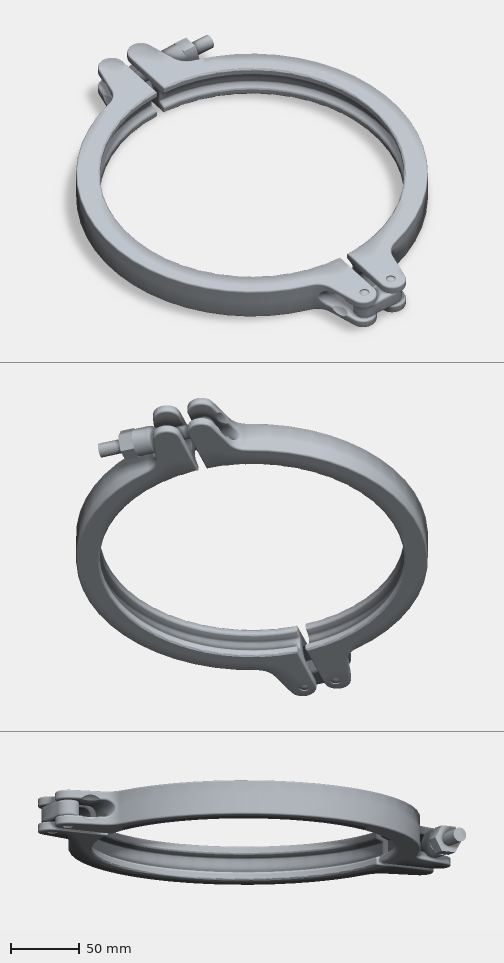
import cadquery as cq
import math

length = 326.0
ring_radius = 128.8
bore_radius = 111.5
height = 25.5
half_gap = 3.3
edge_round = 1.3

groove_radius = 117.5
groove_lip = 6.0
groove_rise = 2.0
groove_mouth_z = height / 2 - groove_lip
groove_floor_z = groove_mouth_z - groove_rise

ear_radius = 10.0
ear_angle = math.radians(14)
ear_blend = 15.0
ear_x = length / 2 - ear_radius
ear_y = half_gap + ear_radius

slot_height = 12.5
slot_inner_x = 125.5

pivot_y = 12.0
pin_x = 153.0
pin_radius = 3.5
pin_dome = 1.0
link_radius = 8.0
link_round = 2.0

bolt_x = 142.5
stem_radius = 5.2
stem_end_y = 68.5
ball_radius = 8.5
nut_corners = 22.2
nut_start_y = 40.5
nut_end_y = 51.0
collar_radius = 10.0
dome_start_y = 28.5
dome_end_y = 21.2
dome_centre_y = (dome_start_y + dome_end_y) / 2 + (collar_radius**2 - stem_radius**2) / (
    2 * (dome_start_y - dome_end_y)
)
dome_radius = math.hypot(collar_radius, dome_centre_y - dome_start_y)


def ear_outline():
    """Outline of the upper half in plan: ring, blends, ears and the flat parting faces."""
    sin_a = math.sin(ear_angle)
    cos_a = math.cos(ear_angle)
    offset = ear_x * sin_a + ear_y * cos_a + ear_radius + ear_blend
    centre_radius = ring_radius + ear_blend
    centre_angle = math.pi / 2 - ear_angle - math.acos(offset / centre_radius)
    blend_x = centre_radius * math.cos(centre_angle)
    blend_y = centre_radius * math.sin(centre_angle)
    ring_end = (ring_radius * math.cos(centre_angle), ring_radius * math.sin(centre_angle))
    slope_start = (blend_x - ear_blend * sin_a, blend_y - ear_blend * cos_a)
    blend_turn = (centre_angle + math.pi + 1.5 * math.pi - ear_angle) / 2
    blend_mid = (
        blend_x + ear_blend * math.cos(blend_turn),
        blend_y + ear_blend * math.sin(blend_turn),
    )
    slope_end = (ear_x + ear_radius * sin_a, ear_y + ear_radius * cos_a)
    bore_end_x = math.sqrt(bore_radius**2 - half_gap**2)

    def mirrored(point):
        return (-point[0], point[1])

    return (
        cq.Workplane("XY", origin=(0, 0, -height / 2))
        .moveTo(bore_end_x, half_gap)
        .lineTo(ear_x, half_gap)
        .threePointArc((length / 2, ear_y), slope_end)
        .lineTo(*slope_start)
        .threePointArc(blend_mid, ring_end)
        .threePointArc((0, ring_radius), mirrored(ring_end))
        .threePointArc(mirrored(blend_mid), mirrored(slope_start))
        .lineTo(*mirrored(slope_end))
        .threePointArc((-length / 2, ear_y), (-ear_x, half_gap))
        .lineTo(-bore_end_x, half_gap)
        .threePointArc((0, bore_radius), (bore_end_x, half_gap))
        .close()
    )


def flange_groove():
    """Groove with sloping sides all round the bore."""
    slope = groove_rise / (groove_radius - bore_radius)
    inner_radius = bore_radius - 3.3
    inner_z = groove_mouth_z + slope * (bore_radius - inner_radius)
    return (
        cq.Workplane("XZ")
        .polyline([
            (inner_radius, -inner_z),
            (groove_radius, -groove_floor_z),
            (groove_radius, groove_floor_z),
            (inner_radius, inner_z),
        ])
        .close()
        .revolve(360, (0, 0, 0), (0, 1, 0))
        .edges(cq.selectors.RadiusNthSelector(-1))
        .fillet(edge_round)
    )


def ear_slot():
    """Slot with a full-round inner end, running through the +X ear along Y."""
    end_radius = slot_height / 2
    end_x = slot_inner_x + end_radius
    return (
        cq.Workplane("XZ")
        .moveTo(length, end_radius)
        .lineTo(end_x, end_radius)
        .threePointArc((slot_inner_x, 0), (end_x, -end_radius))
        .lineTo(length, -end_radius)
        .close()
        .extrude(-ring_radius)
    )


def socket():
    """Ball-shaped seat that matches the domed end of the collar."""
    return cq.Workplane("XY").sphere(dome_radius).translate((bolt_x, dome_centre_y, 0))


def cylinder_z(x, y, radius, z_height):
    return cq.Workplane("XY", origin=(x, y, -z_height / 2)).circle(radius).extrude(z_height)


def mirrored_pair(cutter):
    return (cutter, cutter.mirror("YZ"))


def round_edges(body):
    """Round every edge except the upright ones and the seams inside the slots and the groove."""
    seam_z = (groove_mouth_z + groove_floor_z) / 2
    groove_seams = cq.selectors.BoxSelector((-ear_x, ear_y, -seam_z), (ear_x, ring_radius, seam_z))
    sharp_edges = cq.selectors.StringSyntaxSelector("not (|Y or |Z)") - groove_seams
    return body.edges(sharp_edges).fillet(edge_round)


def clamp_half():
    """Upper half of the ring, on the +Y side of the parting gap."""
    body = ear_outline().extrude(height).cut(flange_groove())
    for cutter in mirrored_pair(ear_slot()):
        body = body.cut(cutter)
    body = round_edges(body)
    for cutter in mirrored_pair(socket()):
        body = body.cut(cutter)
    return body.cut(cylinder_z(pin_x, pivot_y, pin_radius, height))


def hinge_link():
    bar = cq.Workplane("XY").box(2 * link_radius, 2 * pivot_y, slot_height)
    body = bar.translate((pin_x, 0, 0))
    for side in (-1, 1):
        body = body.union(cylinder_z(pin_x, side * pivot_y, link_radius, slot_height))
    body = body.faces("|Z").edges().fillet(link_round)
    for side in (-1, 1):
        body = body.union(hinge_pin(side * pivot_y))
    return body


def hinge_pin(y):
    """Pin with domed ends that finish level with the cheeks."""
    top = height / 2
    rim = top - pin_dome
    cap_radius = (pin_radius**2 + pin_dome**2) / (2 * pin_dome)
    mid_radius = pin_radius / 2
    mid_height = top - cap_radius + math.sqrt(cap_radius**2 - mid_radius**2)
    return (
        cq.Workplane("XZ", origin=(pin_x, y, 0))
        .moveTo(0, -top)
        .threePointArc((mid_radius, -mid_height), (pin_radius, -rim))
        .lineTo(pin_radius, rim)
        .threePointArc((mid_radius, mid_height), (0, top))
        .close()
        .revolve(360, (0, 0, 0), (0, 1, 0))
    )


def pivot_ball():
    return cq.Workplane("XY").sphere(ball_radius).translate((-bolt_x, -pivot_y, 0))


def cylinder_y(radius, start_y, end_y):
    return cq.Workplane("XZ", origin=(-bolt_x, start_y, 0)).circle(radius).extrude(start_y - end_y)


def collar():
    """Round collar whose lower end is a dome that stops at the stem."""
    mid_radius = (stem_radius + collar_radius) / 2
    mid_y = dome_centre_y - math.sqrt(dome_radius**2 - mid_radius**2)
    return (
        cq.Workplane("XY", origin=(-bolt_x, 0, 0))
        .moveTo(0, dome_end_y)
        .lineTo(stem_radius, dome_end_y)
        .threePointArc((mid_radius, mid_y), (collar_radius, dome_start_y))
        .lineTo(collar_radius, nut_start_y)
        .lineTo(0, nut_start_y)
        .close()
        .revolve(360, (0, 0, 0), (0, 1, 0))
    )


def clamp_bolt():
    stem = cylinder_y(stem_radius, -pivot_y, stem_end_y)
    nut = cq.Workplane("XZ", origin=(-bolt_x, nut_start_y, 0)).polygon(6, nut_corners)
    nut = nut.extrude(nut_start_y - nut_end_y)
    return stem.union(pivot_ball()).union(collar()).union(nut)


upper_half = clamp_half()
lower_half = clamp_half().mirror("XZ").cut(pivot_ball()).union(hinge_link())
bolt = clamp_bolt()

result = cq.Compound.makeCompound([upper_half.val(), lower_half.val(), bolt.val()])